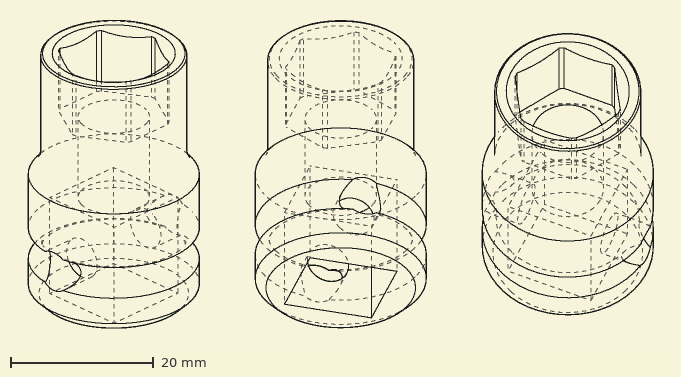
import cadquery as cq
import math

height = 38.0
body_radius = 12.0
neck_radius = 10.25
base_chamfer = 1.52
rim_chamfer = 0.25
shoulder_bottom = 18.92
neck_bottom = 22.75

groove_center = 7.98
groove_half_height = 2.45
groove_depth = 1.98
pin_hole_diameter = 6.0

hex_across_flats = 14.02
hex_corner_radius = 7.9
hex_depth = 10.0
lead_in_radius = 8.63
lead_in_angle = 30.0
lead_in_depth = (lead_in_radius - hex_across_flats / 2) * math.tan(math.radians(lead_in_angle))

bore_radius = 5.0
drive_width = 12.7
drive_depth = 15.2


def shoulder_midpoint():
    """Middle of the shoulder arc, which leaves the neck tangentially."""
    rise = neck_bottom - shoulder_bottom
    spread = body_radius - neck_radius
    arc_radius = (rise**2 + spread**2) / (2 * spread)
    mid_rise = rise / 2
    mid_spread = arc_radius - (arc_radius**2 - mid_rise**2) ** 0.5
    return neck_radius + mid_spread, neck_bottom - mid_rise


def make_body():
    """Revolve the solid outer profile about Z."""
    profile = (
        cq.Workplane("XZ")
        .lineTo(body_radius - base_chamfer, 0)
        .lineTo(body_radius, base_chamfer)
        .lineTo(body_radius, groove_center - groove_half_height)
        .threePointArc(
            (body_radius - groove_depth, groove_center),
            (body_radius, groove_center + groove_half_height),
        )
        .lineTo(body_radius, shoulder_bottom)
        .threePointArc(shoulder_midpoint(), (neck_radius, neck_bottom))
        .lineTo(neck_radius, height - rim_chamfer)
        .lineTo(neck_radius - rim_chamfer, height)
        .lineTo(0, height)
        .close()
    )
    return profile.revolve(360, (0, 0, 0), (0, 1, 0))


def make_hex_recess():
    """Hexagon with corners on the Y axis, its corners cut by a cylinder."""
    floor = cq.Workplane("XY").workplane(offset=height - hex_depth)
    hexagon = floor.polygon(6, hex_across_flats, circumscribed=True).extrude(hex_depth)
    corner_limit = floor.circle(hex_corner_radius).extrude(hex_depth)
    return hexagon.intersect(corner_limit)


def make_lead_in():
    """Cone narrowing from the rim to the flats of the hexagon."""
    return (
        cq.Workplane("XY", origin=(0, 0, height))
        .circle(lead_in_radius)
        .workplane(offset=-lead_in_depth)
        .circle(hex_across_flats / 2)
        .loft(ruled=True)
    )


def make_pin_hole():
    """Cross hole running through the groove along Y."""
    return (
        cq.Workplane("XZ", origin=(0, 0, groove_center))
        .circle(pin_hole_diameter / 2)
        .extrude(body_radius, both=True)
    )


bore = cq.Workplane("XY").circle(bore_radius).extrude(height)
drive_recess = cq.Workplane("XY").rect(drive_width, drive_width).extrude(drive_depth)

result = (
    make_body()
    .cut(bore)
    .cut(drive_recess)
    .cut(make_hex_recess())
    .cut(make_lead_in())
    .cut(make_pin_hole())
)